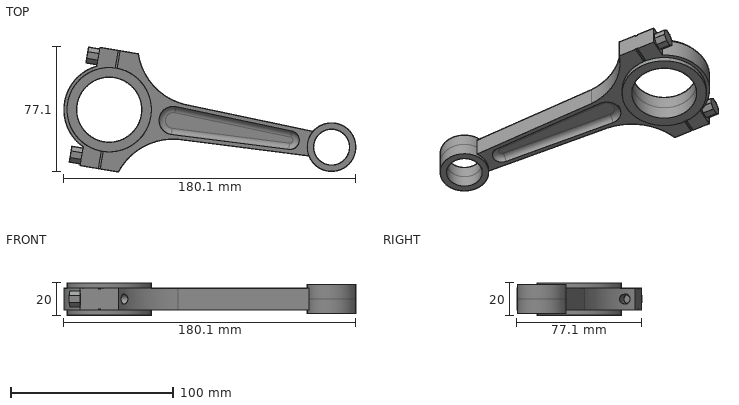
import cadquery as cq
import math


ROD_LENGTH = 139.0
CENTRE_SPAN_X = 137.07
ROD_ANGLE = -math.degrees(math.acos(CENTRE_SPAN_X / ROD_LENGTH))
BODY_THICKNESS = 13.5

BIG_BORE_RADIUS = 20.0
CAP_RADIUS = 28.0
BIG_BOSS_RADIUS = 26.0
BIG_BOSS_WIDTH = 20.0

SMALL_BORE_RADIUS = 11.0
SMALL_END_RADIUS = 15.0
SMALL_END_WIDTH = 18.0

EAR_HALF_LENGTH = 12.0
EAR_REACH = 37.0
SPLIT_GROOVE_WIDTH = 1.2
SPLIT_GROOVE_DEPTH = 0.5

BOLT_OFFSET = 31.0
BOLT_HEAD_SIDES = 8
BOLT_HEAD_ACROSS_FLATS = 10.0
BOLT_HEAD_HEIGHT = 7.0
BOLT_HOLE_DIAMETER = 6.0

POCKET_START = 40.0
POCKET_END = 113.0
POCKET_START_RADIUS = 8.7
POCKET_END_RADIUS = 5.75
POCKET_DEPTH = 3.85
POCKET_FLOOR_FILLET = POCKET_DEPTH
RAIL_WIDTH = 2.5
NECK_RADIUS = 33.0

TAPER = math.asin((POCKET_START_RADIUS - POCKET_END_RADIUS) / (POCKET_END - POCKET_START))
HALF_BODY = BODY_THICKNESS / 2


def plate(outline, thickness):
    """Extrude a closed outline symmetrically about the mid-plane."""
    return outline.extrude(thickness / 2, both=True)


def disc(centre_x, radius, width):
    return plate(cq.Workplane("XY").center(centre_x, 0).circle(radius), width)


def shank_half_width(x):
    """Distance from the rod axis to the straight side of the shank."""
    at_start = (POCKET_START_RADIUS + RAIL_WIDTH) / math.cos(TAPER)
    return at_start - (x - POCKET_START) * math.tan(TAPER)


def neck_points():
    """Middle and end of the arc that leaves the ear corner and runs tangent into the shank side."""
    corner_height = (EAR_REACH - shank_half_width(EAR_HALF_LENGTH)) * math.cos(TAPER)
    run = math.sqrt(2 * NECK_RADIUS * corner_height - corner_height**2)
    foot_x = EAR_HALF_LENGTH + corner_height * math.sin(TAPER)
    end_x = foot_x + run * math.cos(TAPER)
    end_y = shank_half_width(end_x)

    centre_x = end_x + NECK_RADIUS * math.sin(TAPER)
    centre_y = end_y + NECK_RADIUS * math.cos(TAPER)
    corner_angle = math.atan2(EAR_REACH - centre_y, EAR_HALF_LENGTH - centre_x) % math.tau
    end_angle = math.atan2(end_y - centre_y, end_x - centre_x) % math.tau
    middle_angle = (corner_angle + end_angle) / 2
    middle_x = centre_x + NECK_RADIUS * math.cos(middle_angle)
    middle_y = centre_y + NECK_RADIUS * math.sin(middle_angle)
    return (middle_x, middle_y), (end_x, end_y)


def mirrored(point):
    return point[0], -point[1]


def make_body():
    """Ears, necks and tapered shank in one plate, joined by the cap disc."""
    middle, end = neck_points()
    corner = (EAR_HALF_LENGTH, EAR_REACH)
    tip = (ROD_LENGTH, shank_half_width(ROD_LENGTH))
    outline = (
        cq.Workplane("XY")
        .moveTo(-EAR_HALF_LENGTH, EAR_REACH)
        .lineTo(*corner)
        .threePointArc(middle, end)
        .lineTo(*tip)
        .lineTo(*mirrored(tip))
        .lineTo(*mirrored(end))
        .threePointArc(mirrored(middle), mirrored(corner))
        .lineTo(-EAR_HALF_LENGTH, -EAR_REACH)
        .close()
    )
    return plate(outline, BODY_THICKNESS).union(disc(0, CAP_RADIUS, BODY_THICKNESS))


def make_pocket():
    """Cutter for the upper pocket: a tapered slot whose floor edge is rounded."""
    start_x = POCKET_START + POCKET_START_RADIUS * math.sin(TAPER)
    start_y = POCKET_START_RADIUS * math.cos(TAPER)
    end_x = POCKET_END + POCKET_END_RADIUS * math.sin(TAPER)
    end_y = POCKET_END_RADIUS * math.cos(TAPER)
    cutter_height = 2 * POCKET_DEPTH
    return (
        cq.Workplane("XY")
        .workplane(offset=HALF_BODY - POCKET_DEPTH)
        .moveTo(start_x, start_y)
        .lineTo(end_x, end_y)
        .threePointArc((POCKET_END + POCKET_END_RADIUS, 0), (end_x, -end_y))
        .lineTo(start_x, -start_y)
        .threePointArc((POCKET_START - POCKET_START_RADIUS, 0), (start_x, start_y))
        .close()
        .extrude(cutter_height)
        .faces("<Z")
        .edges()
        .fillet(POCKET_FLOOR_FILLET)
    )


def make_split_groove():
    """Cutter for the shallow line across the upper face where cap and rod meet."""
    return (
        cq.Workplane("XY")
        .workplane(offset=HALF_BODY - SPLIT_GROOVE_DEPTH)
        .rect(SPLIT_GROOVE_WIDTH, 2 * EAR_REACH)
        .extrude(2 * SPLIT_GROOVE_DEPTH)
    )


def make_bolt_head(side):
    """Octagonal head on the cap face of one ear, with flats facing along Y and Z."""
    across_corners = BOLT_HEAD_ACROSS_FLATS / math.cos(math.pi / BOLT_HEAD_SIDES)
    half_side_angle = 180 / BOLT_HEAD_SIDES
    axis_point = (-EAR_HALF_LENGTH, side * BOLT_OFFSET, 0)
    return (
        cq.Workplane("YZ", origin=axis_point)
        .transformed(rotate=(0, 0, half_side_angle))
        .polygon(BOLT_HEAD_SIDES, across_corners)
        .extrude(-BOLT_HEAD_HEIGHT)
    )


def make_bolt_hole(side):
    """Cutter for the bolt hole running from the split plane out through the neck."""
    return (
        cq.Workplane("YZ", origin=(0, side * BOLT_OFFSET, 0))
        .circle(BOLT_HOLE_DIAMETER / 2)
        .extrude(2 * EAR_HALF_LENGTH)
    )


rod = make_body()
for upper_cutter in (make_pocket(), make_split_groove()):
    rod = rod.cut(upper_cutter).cut(upper_cutter.mirror("XY"))

rod = rod.union(disc(0, BIG_BOSS_RADIUS, BIG_BOSS_WIDTH))
rod = rod.union(disc(ROD_LENGTH, SMALL_END_RADIUS, SMALL_END_WIDTH))
rod = rod.cut(disc(0, BIG_BORE_RADIUS, BIG_BOSS_WIDTH))
rod = rod.cut(disc(ROD_LENGTH, SMALL_BORE_RADIUS, SMALL_END_WIDTH))

for side in (1, -1):
    rod = rod.union(make_bolt_head(side)).cut(make_bolt_hole(side))

result = rod.rotate((0, 0, 0), (0, 0, 1), ROD_ANGLE)